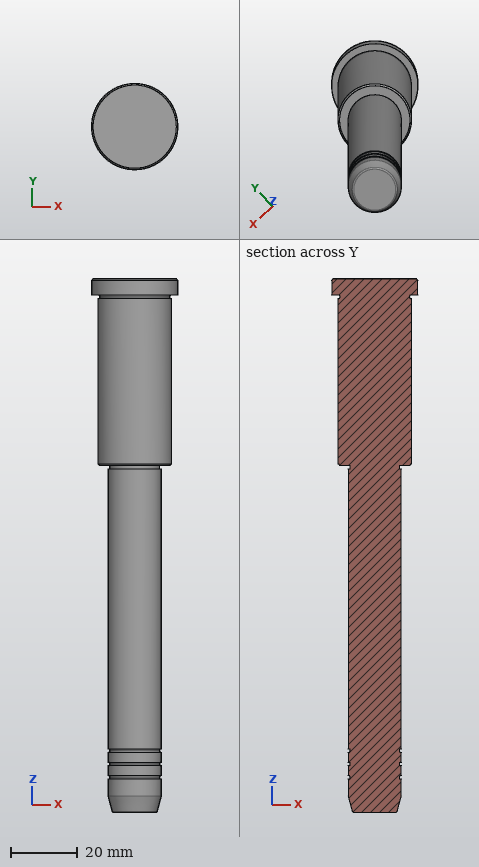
import cadquery as cq
import math

total_length = 160.0
head_diameter = 26.0
head_height = 5.0
shoulder_diameter = 22.0
shoulder_bottom = 104.0
shank_diameter = 16.0
head_bottom = total_length - head_height

edge_break = 0.5

taper_length = 5.0
taper_angle = 15.0

groove_depth = 0.5
groove_width = 2 * groove_depth
groove_fillet = 0.3

ring_count = 3
ring_pitch = 4.0
lowest_ring_center = 10.5


def cylinder(diameter, bottom, top):
    """Cylinder on the Z axis between two heights."""
    return cq.Workplane("XY").workplane(offset=bottom).circle(diameter / 2).extrude(top - bottom)


def make_head():
    head = cylinder(head_diameter, head_bottom, total_length)
    return head.faces(">Z").edges().chamfer(edge_break)


def make_shoulder():
    shoulder = cylinder(shoulder_diameter, shoulder_bottom, head_bottom)
    return shoulder.faces("<Z").edges().chamfer(edge_break)


def make_shank():
    """Straight shank with a conical lead-in and a rounded tip edge."""
    radius = shank_diameter / 2
    tip_radius = radius - taper_length * math.tan(math.radians(taper_angle))
    shank = (
        cq.Workplane("XZ")
        .lineTo(tip_radius, 0)
        .lineTo(radius, taper_length)
        .lineTo(radius, shoulder_bottom)
        .lineTo(0, shoulder_bottom)
        .close()
        .revolve(360, (0, 0), (0, 1))
    )
    return shank.faces("<Z").edges().fillet(edge_break)


def groove_cutter(diameter, center):
    """Ring that cuts a square groove around a cylinder, centred at the given height."""
    bottom = center - groove_width / 2
    top = center + groove_width / 2
    outer = cylinder(diameter + 2 * groove_depth, bottom, top)
    core = cylinder(diameter - 2 * groove_depth, bottom, top)
    return outer.cut(core)


def rounded_groove_cutter(diameter, center):
    """Groove ring whose two inner edges are rounded, leaving filleted floor corners."""
    cutter = groove_cutter(diameter, center)
    return cutter.edges(cq.selectors.RadiusNthSelector(0)).fillet(groove_fillet)


result = make_head().union(make_shoulder()).union(make_shank())

result = result.cut(rounded_groove_cutter(shoulder_diameter, head_bottom - groove_width / 2))
result = result.cut(groove_cutter(shank_diameter, shoulder_bottom - groove_width / 2))

for index in range(ring_count):
    ring_center = lowest_ring_center + index * ring_pitch
    result = result.cut(rounded_groove_cutter(shank_diameter, ring_center))